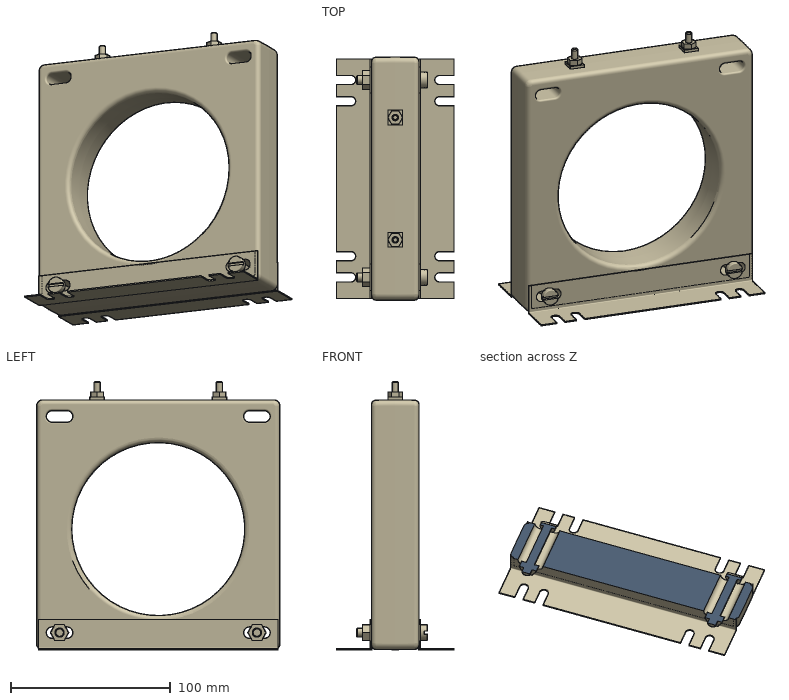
import cadquery as cq
import math


body_width = 152.5
body_height = 156.5
body_half_thickness = 15.0
draft_angle = 0.5
corner_radius = 3.9
face_edge_radius = 3.0
bore_diameter = 108.1
bore_height = 75.5

slot_length = 16.5
slot_width = 7.0
slot_edge_radius = 1.2
slot_offset = 61.8
upper_slot_height = 146.1
lower_slot_height = 10.7

overall_thickness = 73.9
bracket_width = 150.1
bracket_height = 19.0
sheet_thickness = 0.75
bend_radius = 0.5
foot_overlap = 0.3
notch_width = 5.5
notch_depth = 12.1
notch_spacing = 13.3

bolt_diameter = 5.7
bolt_end = 24.2
bolt_end_chamfer = 0.5
bolt_nut_flats = 10.0
bolt_nut_thickness = 4.9
head_diameter = 10.0
head_thickness = 4.4
head_edge_radius = 0.5
driver_slot_width = 1.8
driver_slot_depth = 1.8

overall_height = 168.0
stud_spacing = 76.5
stud_diameter = 4.0
stud_end_chamfer = 0.7
stud_nut_flats = 8.0
stud_nut_thickness = 3.4
washer_size = 9.2
washer_thickness = 1.7

bracket_face = body_half_thickness + sheet_thickness
foot_end = overall_thickness / 2
SIDES = (-1, 1)


def across_corners(across_flats):
    return across_flats / math.cos(math.pi / 6)


def oblong_slots(height, depth):
    """Pair of oblong prisms running from X = 0 along +X at the given height."""
    return (
        cq.Workplane("YZ", origin=(0, 0, height))
        .pushPoints([(side * slot_offset, 0) for side in SIDES])
        .slot2D(slot_length, slot_width)
        .extrude(depth)
    )


def make_body_half():
    """The +X half of the body: drafted block with bore, rounded edges and slots."""
    block = (
        cq.Workplane("YZ", origin=(0, 0, body_height / 2))
        .rect(body_width, body_height)
        .extrude(body_half_thickness, taper=draft_angle)
        .edges("not(|Y or |Z)")
        .fillet(corner_radius)
    )
    bore = (
        cq.Workplane("YZ", origin=(0, 0, bore_height))
        .circle(bore_diameter / 2)
        .extrude(body_half_thickness, taper=-draft_angle)
    )
    half = block.cut(bore).faces(">X").edges().fillet(face_edge_radius)

    half = half.cut(oblong_slots(upper_slot_height, body_half_thickness))
    for side in SIDES:
        mouth = cq.selectors.BoxSelector(
            (
                body_half_thickness / 2,
                side * slot_offset - slot_length / 2,
                upper_slot_height - slot_width / 2 - slot_edge_radius,
            ),
            (
                body_half_thickness * 2,
                side * slot_offset + slot_length / 2,
                upper_slot_height + slot_width / 2 + slot_edge_radius,
            ),
        )
        half = half.faces(">X").edges(mouth).fillet(slot_edge_radius)

    return half.cut(oblong_slots(lower_slot_height, body_half_thickness))


def make_bracket():
    """The +X angle bracket: upright plate and notched foot, with two bolt slots."""
    foot_start = body_half_thickness - foot_overlap
    bracket = (
        cq.Workplane("XZ", origin=(0, bracket_width / 2, 0))
        .moveTo(foot_start, 0)
        .lineTo(foot_end, 0)
        .lineTo(foot_end, sheet_thickness)
        .lineTo(bracket_face + bend_radius, sheet_thickness)
        .radiusArc((bracket_face, sheet_thickness + bend_radius), bend_radius)
        .lineTo(bracket_face, bracket_height)
        .lineTo(body_half_thickness, bracket_height)
        .lineTo(body_half_thickness, sheet_thickness)
        .lineTo(foot_start, sheet_thickness)
        .close()
        .extrude(bracket_width)
    )
    notch_centers = [
        (foot_end, side * y) for side in SIDES for y in (slot_offset, slot_offset - notch_spacing)
    ]
    notches = (
        cq.Workplane("XY")
        .pushPoints(notch_centers)
        .slot2D(2 * notch_depth, notch_width)
        .extrude(sheet_thickness)
    )
    return bracket.cut(notches).cut(oblong_slots(lower_slot_height, bracket_face))


def make_bolt():
    """Bolt on the X axis: threaded end and nut at -X, slotted head at +X."""
    head_end = bracket_face + head_thickness
    shank = (
        cq.Workplane("YZ", origin=(-bolt_end, 0, 0))
        .circle(bolt_diameter / 2)
        .extrude(bolt_end + bracket_face)
        .faces("<X")
        .chamfer(bolt_end_chamfer)
    )
    nut = (
        cq.Workplane("YZ", origin=(-bracket_face, 0, 0))
        .polygon(6, across_corners(bolt_nut_flats))
        .extrude(-bolt_nut_thickness)
    )
    head = (
        cq.Workplane("YZ", origin=(bracket_face, 0, 0))
        .circle(head_diameter / 2)
        .extrude(head_thickness)
        .faces(">X")
        .edges()
        .fillet(head_edge_radius)
    )
    driver_slot = cq.Workplane("XY", origin=(head_end, 0, 0)).box(
        2 * driver_slot_depth, head_diameter, driver_slot_width
    )
    return shank.union(nut).union(head.cut(driver_slot))


def make_terminal():
    """Threaded stud with square washer and nut; built up from the top of the body."""
    washer_top = body_height + washer_thickness
    sink = washer_size / 2 * math.tan(math.radians(draft_angle))
    washer = (
        cq.Workplane("XY", origin=(0, 0, body_height - sink))
        .rect(washer_size, washer_size)
        .extrude(washer_thickness + sink)
    )
    nut = (
        cq.Workplane("XY", origin=(0, 0, washer_top))
        .polygon(6, across_corners(stud_nut_flats))
        .extrude(stud_nut_thickness)
    )
    stud = (
        cq.Workplane("XY", origin=(0, 0, body_height))
        .circle(stud_diameter / 2)
        .extrude(overall_height - body_height)
        .faces(">Z")
        .chamfer(stud_end_chamfer)
    )
    return washer.union(nut).union(stud)


half_assembly = make_body_half().union(make_bracket())
result = half_assembly.union(half_assembly.mirror("YZ"))

bolt = make_bolt()
terminal = make_terminal()
for side in SIDES:
    result = result.union(bolt.translate((0, side * slot_offset, lower_slot_height)))
    result = result.union(terminal.translate((0, side * stud_spacing / 2, 0)))